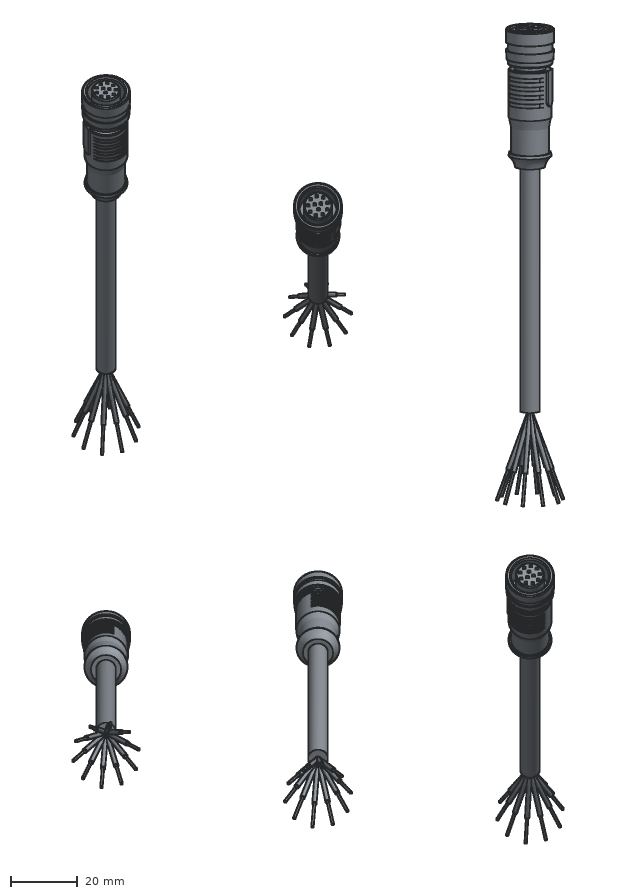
import cadquery as cq
import math


cable_diameter = 6.0
cable_length = 75.0

wire_count = 10
first_wire_angle = 7.0
wire_tilt = 20.15
wire_length = 29.0
insulation_length = 19.0
insulation_diameter = 1.4
strand_diameter = 0.8

grip_diameter = 13.04
collar_bottom_diameter = 9.04
collar_waist_diameter = 10.7
collar_diameter = 13.04
collar_ledge_diameter = 12.6
sleeve_diameter = 11.53
shoulder_diameter = 12.6
collar_waist_z = 77.2
collar_edge_z = 78.5
sleeve_bottom_z = 79.4
sleeve_top_z = 87.2
shoulder_z = 89.9
grip_bottom_z = 90.3
grip_top_z = 105.1
grip_top_chamfer = 0.35

rib_diameter = 13.54
rib_count = 4
rib_height = 1.2
rib_pitch = 2.6
first_rib_z = 94.2
rib_crest_end_x = 4.8
rib_foot_end_x = 3.6

pad_half_width = 1.95
pad_foot_half_width = 2.45
pad_bevel_depth = 0.5
pad_bottom_z = 93.8

neck_diameter = 9.6
nut_diameter = 14.53
nut_waist_diameter = 13.54
nut_band_bottom_diameter = 14.2
nut_bore_diameter = 11.26
nut_mouth_diameter = 12.2
nut_bottom_z = 106.4
nut_band_bottom_z = 108.1
nut_band_top_z = 110.85
nut_head_bottom_z = 113.3
nut_top_z = 117.5
nut_bore_floor_z = 109.0
nut_edge_chamfer = 0.4
nut_bottom_chamfer = 0.4

insert_diameter = 8.7
insert_top_diameter = 7.9
insert_rim_z = 117.5
insert_top_z = 118.0
contact_diameter = 0.95
contact_depth = 5.0
outer_contact_count = 9
outer_contact_radius = 3.0
inner_contact_count = 3
inner_contact_radius = 1.1
first_outer_contact_angle = 30.0
first_inner_contact_angle = 90.0


def revolve_profile(points):
    """Turn a list of (diameter, z) stations into a solid of revolution about Z."""
    outline = [(diameter / 2, z) for diameter, z in points]
    closed = [(0, points[0][1])] + outline + [(0, points[-1][1])]
    return cq.Workplane("XZ").polyline(closed).close().revolve(360, (0, 0), (0, 1))


def make_cable():
    """Plain round sheath."""
    return cq.Workplane("XY").circle(cable_diameter / 2).extrude(cable_length)


def make_wire(angle):
    """One wire leaving the axis at the sheath end, with its strand bared at the tip."""
    tilt = math.radians(wire_tilt)
    heading = math.radians(angle)
    direction = cq.Vector(
        math.sin(tilt) * math.cos(heading),
        math.sin(tilt) * math.sin(heading),
        -math.cos(tilt),
    )
    origin = cq.Vector(0, 0, 0)
    insulation = cq.Solid.makeCylinder(insulation_diameter / 2, insulation_length, origin, direction)
    strand = cq.Solid.makeCylinder(strand_diameter / 2, wire_length, origin, direction)
    return cq.Workplane(obj=insulation).union(cq.Workplane(obj=strand))


def make_grip():
    """Overmoulded body, flaring from the cable along a slightly hollow collar."""
    return (
        cq.Workplane("XZ")
        .moveTo(0, cable_length)
        .lineTo(collar_bottom_diameter / 2, cable_length)
        .threePointArc(
            (collar_waist_diameter / 2, collar_waist_z),
            (collar_diameter / 2, collar_edge_z),
        )
        .lineTo(collar_ledge_diameter / 2, sleeve_bottom_z)
        .lineTo(sleeve_diameter / 2, sleeve_bottom_z)
        .lineTo(sleeve_diameter / 2, sleeve_top_z)
        .lineTo(shoulder_diameter / 2, shoulder_z)
        .lineTo(grip_diameter / 2, grip_bottom_z)
        .lineTo(grip_diameter / 2, grip_top_z - grip_top_chamfer)
        .lineTo(grip_diameter / 2 - grip_top_chamfer, grip_top_z)
        .lineTo(0, grip_top_z)
        .close()
        .revolve(360, (0, 0), (0, 1))
    )


def make_ribs():
    """Side ribs whose ends slope from the crest down to the grip surface."""
    crest_end_y = math.sqrt((rib_diameter / 2) ** 2 - rib_crest_end_x ** 2)
    foot_end_y = math.sqrt((grip_diameter / 2) ** 2 - rib_foot_end_x ** 2)
    ribs = []
    for index in range(rib_count):
        rib_z = first_rib_z + index * rib_pitch
        for side in (-1, 1):
            rib = (
                cq.Workplane("XY", origin=(0, 0, rib_z))
                .moveTo(0, -foot_end_y)
                .lineTo(side * rib_foot_end_x, -foot_end_y)
                .lineTo(side * rib_crest_end_x, -crest_end_y)
                .threePointArc((side * rib_diameter / 2, 0), (side * rib_crest_end_x, crest_end_y))
                .lineTo(side * rib_foot_end_x, foot_end_y)
                .lineTo(0, foot_end_y)
                .close()
                .extrude(rib_height)
            )
            ribs.append(rib)
    return ribs


def pad_outline(half_width, depth):
    """Tongue outline at a depth behind the pad face, square at the top and round at the bottom."""
    arc_centre_z = pad_bottom_z + pad_half_width
    return (
        cq.Workplane("XZ", origin=(0, depth - grip_diameter / 2, 0))
        .moveTo(-half_width, grip_top_z)
        .lineTo(-half_width, arc_centre_z)
        .threePointArc((0, arc_centre_z - half_width), (half_width, arc_centre_z))
        .lineTo(half_width, grip_top_z)
        .close()
        .wire()
        .val()
    )


def make_pad():
    """Flat tongue, level with the grip's foremost line, with bevelled sides."""
    face = pad_outline(pad_half_width, 0)
    foot = pad_outline(pad_foot_half_width, pad_bevel_depth)
    return cq.Workplane(obj=cq.Solid.makeLoft([foot, face], True))


def make_nut():
    """Stepped coupling nut on its neck, open at the top around the contact insert."""
    nut = revolve_profile([
        (neck_diameter, grip_top_z),
        (neck_diameter, nut_bottom_z),
        (nut_waist_diameter - 2 * nut_bottom_chamfer, nut_bottom_z),
        (nut_waist_diameter, nut_bottom_z + nut_bottom_chamfer),
        (nut_waist_diameter, nut_band_bottom_z),
        (nut_band_bottom_diameter, nut_band_bottom_z),
        (nut_diameter, nut_band_top_z),
        (nut_waist_diameter, nut_band_top_z),
        (nut_waist_diameter, nut_head_bottom_z),
        (nut_diameter, nut_head_bottom_z),
        (nut_diameter, nut_top_z - nut_edge_chamfer),
        (nut_diameter - 2 * nut_edge_chamfer, nut_top_z),
    ])
    mouth_depth = (nut_mouth_diameter - nut_bore_diameter) / 2
    bore = revolve_profile([
        (nut_bore_diameter, nut_bore_floor_z),
        (nut_bore_diameter, nut_top_z - mouth_depth),
        (nut_mouth_diameter, nut_top_z),
    ])
    return nut.cut(bore)


def make_contact_holes(count, radius, first_angle):
    """A ring of round sockets sunk from the insert face."""
    return (
        cq.Workplane("XY", origin=(0, 0, insert_top_z))
        .polarArray(radius, first_angle, 360, count)
        .circle(contact_diameter / 2)
        .extrude(-contact_depth)
    )


def make_contact_insert():
    """Round insert with a bevelled rim, standing slightly proud of the coupling nut."""
    insert = revolve_profile([
        (insert_diameter, nut_bottom_z),
        (insert_diameter, insert_rim_z),
        (insert_top_diameter, insert_top_z),
    ])
    outer = make_contact_holes(outer_contact_count, outer_contact_radius, first_outer_contact_angle)
    inner = make_contact_holes(inner_contact_count, inner_contact_radius, first_inner_contact_angle)
    return insert.cut(outer).cut(inner)


def make_wires():
    """Wires evenly spread around the cable axis."""
    return [make_wire(first_wire_angle + index * 360 / wire_count) for index in range(wire_count)]


body = make_cable().union(make_grip()).union(make_pad())
body = body.union(make_nut()).union(make_contact_insert())
for piece in make_ribs() + make_wires():
    body = body.union(piece)

result = body